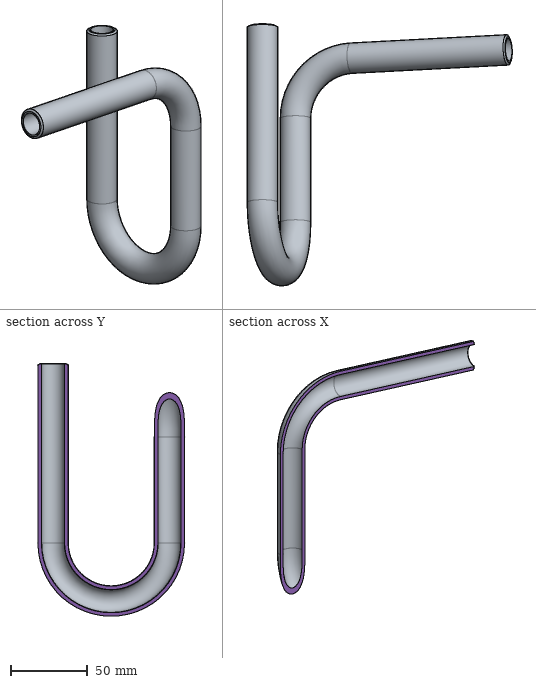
import cadquery as cq
import math

outer_diameter = 20.0
bore_diameter = 14.8
outer_radius = outer_diameter / 2

bevel_inset = 1.5
bevel_angle = 30.0
bevel_length = bevel_inset * math.tan(math.radians(bevel_angle))

overall_height = 165.0
overall_depth = 155.0
bend_radius = 38.0

leg_spacing = 2 * bend_radius
leg_top = overall_height - bend_radius - outer_radius
arm_level = leg_top - outer_radius
elbow_start = arm_level - bend_radius
arm_end = outer_radius - overall_depth


def centreline():
    """Leg along Z, U-bend in XZ, riser along Z, elbow in YZ, then an arm along -Y."""
    leg_end = cq.Vector(0, 0, leg_top)
    u_start = cq.Vector(0, 0, 0)
    u_bottom = cq.Vector(bend_radius, 0, -bend_radius)
    u_end = cq.Vector(leg_spacing, 0, 0)
    riser_top = cq.Vector(leg_spacing, 0, elbow_start)
    diagonal = bend_radius * math.sqrt(0.5)
    elbow_middle = cq.Vector(leg_spacing, diagonal - bend_radius, elbow_start + diagonal)
    arm_start = cq.Vector(leg_spacing, -bend_radius, arm_level)
    arm_tip = cq.Vector(leg_spacing, arm_end, arm_level)

    leg = cq.Edge.makeLine(leg_end, u_start)
    u_bend = cq.Edge.makeThreePointArc(u_start, u_bottom, u_end)
    riser = cq.Edge.makeLine(u_end, riser_top)
    elbow = cq.Edge.makeThreePointArc(riser_top, elbow_middle, arm_start)
    arm = cq.Edge.makeLine(arm_start, arm_tip)
    return cq.Wire.assembleEdges([leg, u_bend, riser, elbow, arm])


def swept_rod(diameter):
    """Solid round rod of the given diameter that follows the centreline."""
    section = cq.Workplane("XY", origin=(0, 0, leg_top)).circle(diameter / 2)
    return section.sweep(cq.Workplane(centreline()))


def rim_cutter(end_plane):
    """Ring that bevels the outer rim of an end; the plane's normal points out of the tube."""
    bevel_profile = [
        (outer_radius, -bevel_length),
        (outer_radius, 0),
        (outer_radius - bevel_inset, 0),
    ]
    ring = cq.Workplane("XZ").polyline(bevel_profile).close().revolve(360, (0, 0, 0), (0, 1, 0))
    return cq.Workplane(ring.val().moved(cq.Location(end_plane)))


leg_end_plane = cq.Plane((0, 0, leg_top), xDir=(1, 0, 0), normal=(0, 0, 1))
arm_end_plane = cq.Plane((leg_spacing, arm_end, arm_level), xDir=(1, 0, 0), normal=(0, -1, 0))

tube = swept_rod(outer_diameter).cut(swept_rod(bore_diameter))
for end_plane in (leg_end_plane, arm_end_plane):
    tube = tube.cut(rim_cutter(end_plane))

result = tube